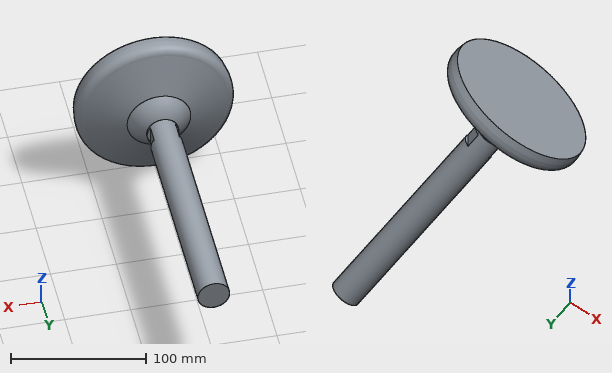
import cadquery as cq
import math

TOTAL_LENGTH = 219.0
RIM_RADIUS = 60.0

SOLE_RADIUS = 59.1
RIM_START = 6.0
RIM_END = 9.2
SHOULDER_RADIUS = 54.3
SHOULDER_HEIGHT = 16.0
CONE_TOP_RADIUS = 24.0
CONE_TOP_HEIGHT = 26.7
DOME_RADIUS = 23.2
DOME_START = 27.8
DOME_TOP = 39.6

STEM_RADIUS = 12.0
STEM_START = 39.2
FLAT_START = 41.2
FLAT_LENGTH = 12.7
ACROSS_FLATS = 19.0


def revolve_about_y(profile):
    return profile.close().revolve(360, (0, 0, 0), (0, 1, 0))


def make_foot():
    """Disc with a rounded shoulder, a conical top and a spherical dome."""
    dome_rise = DOME_TOP - DOME_START
    sphere_radius = (DOME_RADIUS**2 + dome_rise**2) / (2 * dome_rise)
    mid_radius = DOME_RADIUS / 2
    mid_height = DOME_TOP - sphere_radius + math.sqrt(sphere_radius**2 - mid_radius**2)
    profile = (
        cq.Workplane("XY")
        .lineTo(SOLE_RADIUS, 0)
        .lineTo(RIM_RADIUS, RIM_START)
        .lineTo(RIM_RADIUS, RIM_END)
        .tangentArcPoint((SHOULDER_RADIUS, SHOULDER_HEIGHT), relative=False)
        .lineTo(CONE_TOP_RADIUS, CONE_TOP_HEIGHT)
        .lineTo(DOME_RADIUS, DOME_START)
        .threePointArc((mid_radius, mid_height), (0, DOME_TOP))
    )
    return revolve_about_y(profile)


def make_stem():
    """Plain round rod with two opposite wrench flats facing X."""
    profile = (
        cq.Workplane("XY")
        .moveTo(0, STEM_START)
        .lineTo(STEM_RADIUS, STEM_START)
        .lineTo(STEM_RADIUS, TOTAL_LENGTH)
        .lineTo(0, TOTAL_LENGTH)
    )
    stem = revolve_about_y(profile)
    cutter_width = STEM_RADIUS
    cutter = cq.Workplane("XY").box(cutter_width, FLAT_LENGTH, 2 * STEM_RADIUS)
    for side in (-1, 1):
        x = side * (ACROSS_FLATS + cutter_width) / 2
        stem = stem.cut(cutter.translate((x, FLAT_START + FLAT_LENGTH / 2, 0)))
    return stem


result = make_foot().union(make_stem())